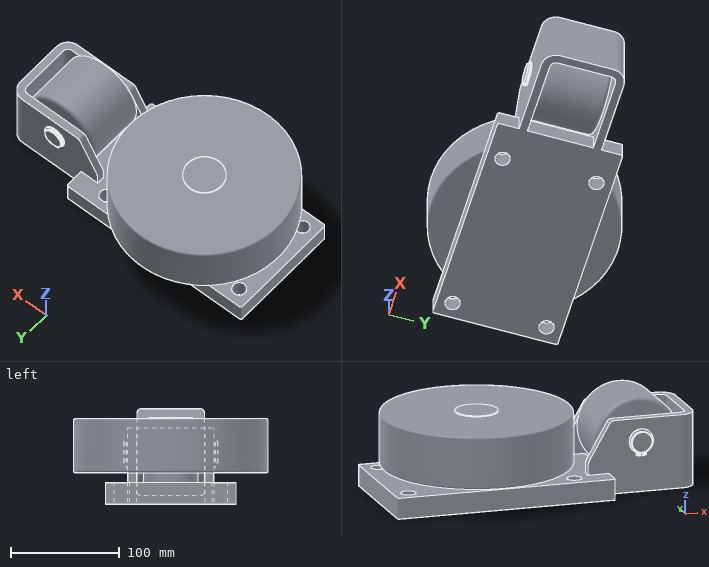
import cadquery as cq
import math

BASE_LENGTH = 210.0
BASE_WIDTH = 120.0
BASE_THICKNESS = 20.0
BASE_EDGE_RADIUS = 2.0
HOLE_DIAMETER = 13.84
HOLE_SPACING_X = 160.0
HOLE_SPACING_Y = 90.0
HOLE_END_DISTANCE = 15.0

WHEEL_X = HOLE_END_DISTANCE + HOLE_SPACING_X / 2
WHEEL_DIAMETER = 179.0
WHEEL_HEIGHT = 50.0
WHEEL_EDGE_RADIUS = 2.0
COLLAR_DIAMETER = 50.0
COLLAR_HEIGHT = 9.0
AXLE_DIAMETER = 40.0
AXLE_PROTRUSION = 1.0

OVERALL_LENGTH = 295.0
BRACKET_WIDTH = 79.0
BRACKET_HEIGHT = 70.0
BRACKET_THICKNESS = 8.0
BRACKET_START_X = 190.0
BRACKET_BEND_RADIUS = 14.0
SLOPE_START_Z = 31.5
SLOPE_ANGLE = 60.0
SLOPE_LOWER_RADIUS = 12.0
SLOPE_UPPER_RADIUS = 5.0

ROLLER_X = 241.0
ROLLER_Z = 48.0
ROLLER_DIAMETER = 80.0
ROLLER_SIDE_CLEARANCE = 0.5
ROLLER_WIDTH = BRACKET_WIDTH - 2 * (BRACKET_THICKNESS + ROLLER_SIDE_CLEARANCE)
ROLLER_EDGE_RADIUS = 4.0
PIN_DIAMETER = 20.0
PIN_PROTRUSION = 3.75
PIN_CHAMFER = 0.5
PIN_LENGTH = BRACKET_WIDTH + 2 * PIN_PROTRUSION

GROOVE_DIAMETER = 19.0
GROOVE_WIDTH = 1.3
RING_THICKNESS = 1.2
GROOVE_DISTANCE = 0.5
RING_OUTER_DIAMETER = 23.0
RING_OFFSET = 0.6
LUG_REACH = 13.5
LUG_SPAN = 10.0
LUG_GAP = 2.0
LUG_HOLE_DIAMETER = 2.0
LUG_HOLE_SPACING = 5.6
LUG_HOLE_DROP = 11.5


def make_base():
    plate = (
        cq.Workplane("XY")
        .box(BASE_LENGTH, BASE_WIDTH, BASE_THICKNESS, centered=(False, True, False))
        .edges("|Z")
        .fillet(BASE_EDGE_RADIUS)
    )
    holes = (
        cq.Workplane("XY")
        .center(WHEEL_X, 0)
        .rect(HOLE_SPACING_X, HOLE_SPACING_Y, forConstruction=True)
        .vertices()
        .circle(HOLE_DIAMETER / 2)
        .extrude(BASE_THICKNESS)
    )
    return plate.cut(holes)


def vertical_disc(diameter, bottom_z, height):
    return cq.Workplane("XY", origin=(WHEEL_X, 0, bottom_z)).circle(diameter / 2).extrude(height)


def make_wheel():
    wheel_bottom = BASE_THICKNESS + COLLAR_HEIGHT
    wheel_top = wheel_bottom + WHEEL_HEIGHT
    wheel = vertical_disc(WHEEL_DIAMETER, wheel_bottom, WHEEL_HEIGHT).edges().fillet(WHEEL_EDGE_RADIUS)
    collar = vertical_disc(COLLAR_DIAMETER, BASE_THICKNESS, COLLAR_HEIGHT)
    axle_end = vertical_disc(AXLE_DIAMETER, wheel_top, AXLE_PROTRUSION)
    return wheel.union(collar).union(axle_end)


def make_bracket():
    length = OVERALL_LENGTH - BRACKET_START_X
    outer = (
        cq.Workplane("XY", origin=(BRACKET_START_X, 0, 0))
        .box(length, BRACKET_WIDTH, BRACKET_HEIGHT, centered=(False, True, False))
        .edges("|Z and >X")
        .fillet(BRACKET_BEND_RADIUS)
    )
    opening = (
        cq.Workplane("XY", origin=(BRACKET_START_X, 0, 0))
        .box(
            length - BRACKET_THICKNESS,
            BRACKET_WIDTH - 2 * BRACKET_THICKNESS,
            BRACKET_HEIGHT,
            centered=(False, True, False),
        )
        .edges("|Z and >X")
        .fillet(BRACKET_BEND_RADIUS - BRACKET_THICKNESS)
    )
    slope_run = (BRACKET_HEIGHT - SLOPE_START_Z) / math.tan(math.radians(SLOPE_ANGLE))
    slope_bottom = (BRACKET_START_X, 0, SLOPE_START_Z)
    slope_top = (BRACKET_START_X + slope_run, 0, BRACKET_HEIGHT)
    side_outline = (
        cq.Workplane("XZ", origin=(0, BRACKET_WIDTH / 2, 0))
        .moveTo(BRACKET_START_X, 0)
        .lineTo(BRACKET_START_X, SLOPE_START_Z)
        .lineTo(BRACKET_START_X + slope_run, BRACKET_HEIGHT)
        .lineTo(OVERALL_LENGTH, BRACKET_HEIGHT)
        .lineTo(OVERALL_LENGTH, 0)
        .close()
        .extrude(BRACKET_WIDTH)
        .edges(cq.selectors.NearestToPointSelector(slope_bottom))
        .fillet(SLOPE_LOWER_RADIUS)
        .edges(cq.selectors.NearestToPointSelector(slope_top))
        .fillet(SLOPE_UPPER_RADIUS)
    )
    return outer.cut(opening).intersect(side_outline)


def pin_disc(diameter, width, start_y, raise_z=0.0):
    """Disc along +Y that starts at start_y, with its centre raised above the pin axis."""
    plane = cq.Workplane("XZ", origin=(ROLLER_X, start_y, ROLLER_Z + raise_z))
    return plane.circle(diameter / 2).extrude(-width)


def make_roller():
    return pin_disc(ROLLER_DIAMETER, ROLLER_WIDTH, -ROLLER_WIDTH / 2).edges().fillet(ROLLER_EDGE_RADIUS)


def make_pin():
    pin = pin_disc(PIN_DIAMETER, PIN_LENGTH, -PIN_LENGTH / 2).faces("<Y or >Y").chamfer(PIN_CHAMFER)
    groove_start = BRACKET_WIDTH / 2 + GROOVE_DISTANCE
    groove = pin_disc(PIN_DIAMETER, GROOVE_WIDTH, groove_start).cut(
        pin_disc(GROOVE_DIAMETER, GROOVE_WIDTH, groove_start)
    )
    ring = make_ring(groove_start)
    return pin.cut(groove).cut(groove.mirror("XZ")).union(ring).union(ring.mirror("XZ"))


def make_ring(start_y):
    """Eccentric ring, thickest at the top, with two drilled lugs at the bottom."""
    middle_y = start_y + RING_THICKNESS / 2

    def lower_block(width):
        block = cq.Workplane("XY", origin=(ROLLER_X, middle_y, ROLLER_Z - LUG_REACH / 2))
        return block.box(width, RING_THICKNESS, LUG_REACH)

    lug_holes = (
        cq.Workplane("XZ", origin=(ROLLER_X, start_y, ROLLER_Z - LUG_HOLE_DROP))
        .pushPoints([(-LUG_HOLE_SPACING / 2, 0), (LUG_HOLE_SPACING / 2, 0)])
        .circle(LUG_HOLE_DIAMETER / 2)
        .extrude(-RING_THICKNESS)
    )
    lugs = pin_disc(2 * LUG_REACH, RING_THICKNESS, start_y).intersect(lower_block(LUG_SPAN))
    return (
        pin_disc(RING_OUTER_DIAMETER, RING_THICKNESS, start_y, RING_OFFSET)
        .union(lugs)
        .cut(pin_disc(GROOVE_DIAMETER, RING_THICKNESS, start_y))
        .cut(lower_block(LUG_GAP))
        .cut(lug_holes)
    )


result = make_base().union(make_wheel()).union(make_bracket()).union(make_roller()).union(make_pin())